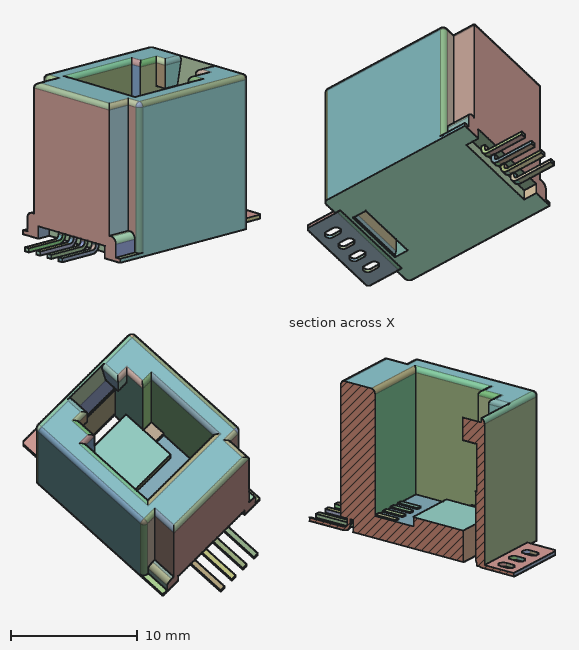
import cadquery as cq
import math


housing_width = 11.1
housing_length = 13.97
top_z = 12.76
standoff = 0.05
edge_radius = 0.4

panel_width = 8.6
notch_length = 2.06
lip_top_z = 0.4
rib_half_width = 5.06
rib_top_z = 2.02
rib_radius = 0.52

socket_width = 7.5
key_width = 5.48
latch_width = 3.5
socket_front_y = 3.35
key_front_y = 10.1
latch_front_y = 11.83
floor_z = 1.98
latch_ledge_z = 10.45
back_wall_y = 13.18
back_wall_top_y = 13.65
side_step_front_y = 8.75
side_step_height = 0.4
stop_front_y = 7.05
stop_back_y = 11.91
stop_height = 0.8

contact_pitch = 1.01
contact_width = 0.45
contact_end_y = 5.28
contact_height = 0.1

metal_thickness = 0.34
bend_radius = 0.35
lead_leg_top_z = floor_z
lead_count = 4
lead_width = 0.45
lead_pitch = 1.27
lead_tip_y = -3.04
lead_bend_y = 0.25
lead_recess_width = 7.56
lead_recess_depth = 1.2
lead_recess_top_z = 1.1

bracket_width = 8.04
bracket_bend_y = 13.75
bracket_end_y = 16.81
bracket_leg_top_z = 6.4
bracket_corner_radius = 0.24
slot_count = 4
slot_pitch = 1.6
slot_width = 0.8
slot_length = 1.43
slot_y = 15.35
slot_stagger = 0.12

through = 2 * top_z


def box(width, y_start, y_end, z_start, z_end):
    """Box centred on X = 0 between the given Y and Z limits."""
    size = (width, y_end - y_start, z_end - z_start)
    return cq.Workplane("XY").box(*size, centered=(True, False, False)).translate((0, y_start, z_start))


def centred_positions(count, pitch):
    return [(i - (count - 1) / 2) * pitch for i in range(count)]


def make_envelope():
    """Outer housing shape without the socket."""
    base = box(housing_width, 0, housing_length, standoff, lip_top_z)
    base = base.edges("|Z and >Y").fillet(edge_radius)
    main = box(housing_width, notch_length, housing_length, lip_top_z, top_z)
    panel = box(panel_width, 0, notch_length, lip_top_z, top_z)
    upper = main.union(panel)
    vertical = upper.edges("|Z").edges("<X or >X")
    upper = upper.newObject(vertical.vals() + upper.faces(">Z").edges().vals()).fillet(edge_radius)
    ribs = box(2 * rib_half_width, 0, notch_length, lip_top_z, rib_top_z)
    ribs = ribs.edges("|Y and >Z").fillet(rib_radius)
    return base.union(upper).union(ribs)


def make_socket_walls():
    """Oversize block with the stepped, round-edged opening; the latch slot runs out of the back."""
    run_out_y = 2 * housing_length
    opening = box(socket_width, socket_front_y, key_front_y, floor_z, through)
    opening = opening.union(box(key_width, socket_front_y, latch_front_y, floor_z, through))
    opening = opening.union(box(latch_width, socket_front_y, run_out_y, floor_z, through))
    block = box(2 * housing_width, -housing_length, run_out_y, 0, top_z)
    walls = block.cut(opening)
    rim = walls.faces(">Z").edges(
        cq.selectors.BoxSelector(
            (-socket_width, 0, floor_z),
            (socket_width, run_out_y, through),
        )
    )
    walls = walls.newObject(rim.vals()).fillet(edge_radius)
    undercut = box(key_width, latch_front_y, back_wall_y, floor_z, latch_ledge_z)
    floor_hole = box(key_width, stop_back_y, back_wall_y, 0, floor_z)
    return walls.cut(undercut).cut(floor_hole)


def make_back_wall():
    """Filling behind the latch slot, leaning outward above the ledges."""
    profile = [
        (back_wall_y, floor_z),
        (back_wall_y, latch_ledge_z),
        (back_wall_top_y, top_z),
        (housing_length, top_z),
        (housing_length, floor_z),
    ]
    return cq.Workplane("YZ").polyline(profile).close().extrude(key_width / 2, both=True)


def make_floor_features():
    """Plug stop, side steps and contacts rising from the socket floor."""
    features = box(key_width, stop_front_y, stop_back_y, floor_z, floor_z + stop_height)
    features = features.union(
        box(socket_width, side_step_front_y, key_front_y, floor_z, floor_z + side_step_height)
    )
    contact = box(contact_width, socket_front_y, contact_end_y, floor_z, floor_z + contact_height)
    for x in centred_positions(lead_count, contact_pitch):
        features = features.union(contact.translate((x, 0, 0)))
    return features


def make_bent_strip(width, tip_y, bend_y, leg_top_z):
    """Flat foot from tip_y to bend_y, then a quarter bend into an upright leg."""
    inward = 1 if bend_y > tip_y else -1
    outer_radius = bend_radius + metal_thickness
    inner_leg_y = bend_y + inward * bend_radius
    outer_leg_y = bend_y + inward * outer_radius
    diagonal = math.sqrt(0.5)

    def on_bend(radius):
        return bend_y + inward * radius * diagonal, outer_radius - radius * diagonal

    profile = (
        cq.Workplane("YZ")
        .moveTo(tip_y, 0)
        .lineTo(bend_y, 0)
        .threePointArc(on_bend(outer_radius), (outer_leg_y, outer_radius))
        .lineTo(outer_leg_y, leg_top_z)
        .lineTo(inner_leg_y, leg_top_z)
        .lineTo(inner_leg_y, outer_radius)
        .threePointArc(on_bend(bend_radius), (bend_y, metal_thickness))
        .lineTo(tip_y, metal_thickness)
        .close()
    )
    return profile.extrude(width / 2, both=True)


def make_bracket():
    bracket = make_bent_strip(bracket_width, bracket_end_y, bracket_bend_y, bracket_leg_top_z)
    bracket = bracket.edges("|Z and >Y").fillet(bracket_corner_radius)
    for i, x in enumerate(centred_positions(slot_count, slot_pitch)):
        shift = slot_stagger / 2 if i % 2 == 0 else -slot_stagger / 2
        slot = cq.Workplane("XY").center(x, slot_y + shift).slot2D(slot_length, slot_width, 90)
        bracket = bracket.cut(slot.extrude(metal_thickness))
    return bracket


lead_recess = box(lead_recess_width, 0, lead_recess_depth, 0, lead_recess_top_z)
housing = make_envelope().intersect(make_socket_walls().union(make_back_wall()))
housing = housing.union(make_floor_features()).cut(lead_recess)

result = housing.union(make_bracket())
lead = make_bent_strip(lead_width, lead_tip_y, lead_bend_y, lead_leg_top_z)
for lead_x in centred_positions(lead_count, lead_pitch):
    result = result.union(lead.translate((lead_x, 0, 0)))